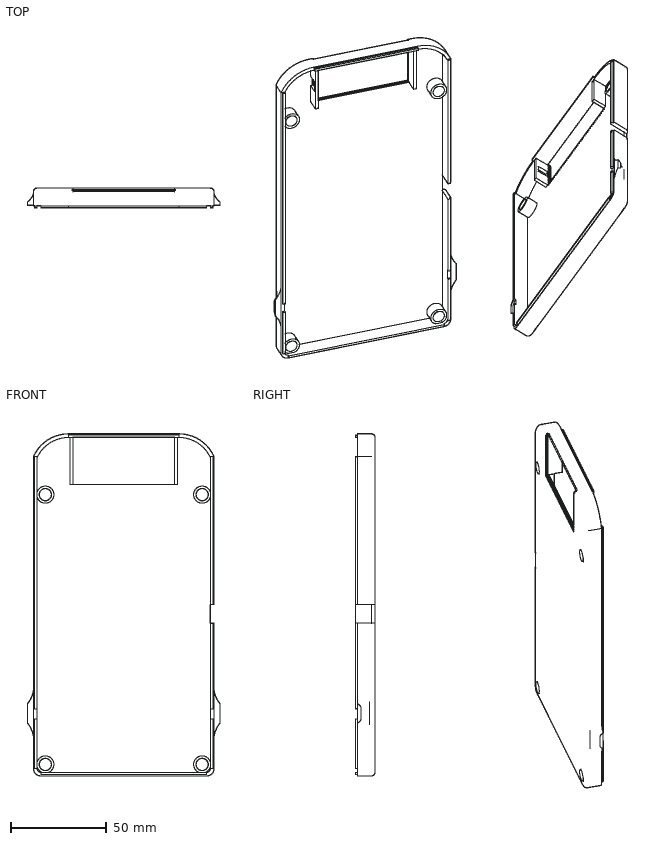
import cadquery as cq
import math

length = 179.9
overall_width = 101.3
body_width = 95.0
body_depth = 9.4
lip_height = 1.0
wall = 2.0
floor = 2.0
back_fillet = 2.0
bottom_radius = 4.0
shoulder_width = 18.5
shoulder_drop = 12.0

half_width = body_width / 2
shoulder_z = length - shoulder_drop
top_half_width = half_width - shoulder_width

lip_inset = 0.7
lip_thickness = wall - lip_inset
lip_notch_bottom = 30.0
lip_notch_height = 5.2

boss_diameter = 9.0
bore_diameter = 6.3
boss_height = 6.1
boss_x = 41.2
boss_z_positions = (6.1, 147.9)

window_width = 53.2
window_bottom = 153.3
rib_thickness = 1.6
rib_opening_bottom = 163.5
rib_opening_height = 6.0
rib_bridge = 1.5

groove_depth = 0.5
groove_front = 1.5
groove_back = 0.7

side_gap_bottom = 80.4
side_gap_height = 9.7

grip_reach = (overall_width - body_width) / 2
grip_z = 33.0
grip_tip_half_front = 5.0
grip_tip_half_back = 3.0
grip_tip_depth = 1.8
grip_root_half_front = 14.4
grip_root_half_back = 6.8
grip_root_depth = 7.5
grip_corner_bulge = 0.1
grip_sections = 5
grip_setback = 0.2
grip_embed = 0.2


def box(x_min, x_max, y_min, y_max, z_min, z_max):
    size = (x_max - x_min, y_max - y_min, z_max - z_min)
    return cq.Workplane("XY").box(*size, centered=False).translate((x_min, y_min, z_min))


def outline():
    """Shell outline: rounded bottom corners, and shoulders arched to run smoothly into the top."""
    arch_radius = (shoulder_width**2 + shoulder_drop**2) / (2 * shoulder_drop)
    half_angle = math.asin(shoulder_width / arch_radius) / 2
    mid_x = top_half_width + arch_radius * math.sin(half_angle)
    mid_z = length - arch_radius * (1 - math.cos(half_angle))
    corner_mid = bottom_radius * (1 - math.sqrt(0.5))
    straight_half = half_width - bottom_radius
    return (
        cq.Workplane("XZ")
        .moveTo(-straight_half, 0)
        .lineTo(straight_half, 0)
        .threePointArc((half_width - corner_mid, corner_mid), (half_width, bottom_radius))
        .lineTo(half_width, shoulder_z)
        .threePointArc((mid_x, mid_z), (top_half_width, length))
        .lineTo(-top_half_width, length)
        .threePointArc((-mid_x, mid_z), (-half_width, shoulder_z))
        .lineTo(-half_width, bottom_radius)
        .threePointArc((-half_width + corner_mid, corner_mid), (-straight_half, 0))
        .close()
    )


def shell():
    body = outline().extrude(body_depth).faces(">Y").edges().fillet(back_fillet)
    cavity = outline().offset2D(-wall).extrude(body_depth).translate((0, -floor, 0))
    return body.cut(cavity)


def lips():
    y_min, y_max = -body_depth - lip_height, -body_depth
    inner_x = half_width - wall
    bottom_half = half_width - bottom_radius
    bottom = box(-bottom_half, bottom_half, y_min, y_max, lip_inset, wall)
    top = box(-top_half_width, top_half_width, y_min, y_max, length - wall, length - lip_inset)
    rim = bottom.union(top)
    notch_top = lip_notch_bottom + lip_notch_height
    for z_min, z_max in ((bottom_radius, lip_notch_bottom), (notch_top, shoulder_z)):
        side = box(inner_x, inner_x + lip_thickness, y_min, y_max, z_min, z_max)
        rim = rim.union(side).union(side.mirror("YZ"))
    return rim


def boss_points():
    return [(x, z) for x in (-boss_x, boss_x) for z in boss_z_positions]


def bosses():
    discs = cq.Workplane("XZ").pushPoints(boss_points()).circle(boss_diameter / 2)
    return discs.extrude(floor + boss_height)


def bores():
    return cq.Workplane("XZ").pushPoints(boss_points()).circle(bore_diameter / 2).extrude(body_depth)


def grip_section(spread, x):
    """Arched outline of the grip at position x; spread runs from 0 at the tip to 1 at the root."""
    half_front = grip_tip_half_front + spread * (grip_root_half_front - grip_tip_half_front)
    half_back = grip_tip_half_back + spread * (grip_root_half_back - grip_tip_half_back)
    depth = grip_tip_depth + spread * (grip_root_depth - grip_tip_depth)
    mid_half = (half_front + half_back) / 2 + grip_corner_bulge * depth
    mid_depth = depth * (0.5 + grip_corner_bulge)
    return (
        cq.Workplane("YZ", origin=(x, -body_depth + grip_setback, grip_z))
        .moveTo(0, -half_front)
        .threePointArc((mid_depth, -mid_half), (depth, -half_back))
        .lineTo(depth, half_back)
        .threePointArc((mid_depth, mid_half), (0, half_front))
        .close()
        .wires()
        .val()
    )


def grip():
    """Grip on the +X wall; its flanks flare out along a concave arc that fades into the wall."""
    flare = grip_root_half_front - grip_tip_half_front
    total_rise = grip_reach + grip_embed
    turn = 2 * math.atan(total_rise / flare)
    sections = []
    for step in range(grip_sections):
        angle = turn * (1 - step / (grip_sections - 1))
        spread = 1 - math.sin(angle) / math.sin(turn)
        rise = total_rise * (1 - math.cos(angle)) / (1 - math.cos(turn))
        sections.append(grip_section(spread, half_width - grip_embed + rise))
    return cq.Workplane(obj=cq.Solid.makeLoft(sections))


def window_rib(x_min):
    return box(x_min, x_min + rib_thickness, -body_depth, -floor, window_bottom, length - wall)


window_half = window_width / 2
right_grip = grip()
top_notch = box(-window_half, window_half, -floor, 0, length - wall, length)
groove_half = window_half + groove_depth
pane_groove = box(
    -groove_half, groove_half,
    -groove_front, -groove_back,
    window_bottom - groove_depth, length,
)
window = box(-window_half, window_half, -floor, 0, window_bottom, length - wall)
rib_opening = box(
    -window_half - rib_thickness, -window_half,
    -body_depth + rib_bridge, -floor,
    rib_opening_bottom, rib_opening_bottom + rib_opening_height,
)
side_gap = box(
    half_width - wall, half_width,
    -body_depth - lip_height, 0,
    side_gap_bottom, side_gap_bottom + side_gap_height,
)

result = (
    shell()
    .union(bosses())
    .cut(bores())
    .union(window_rib(-window_half - rib_thickness))
    .union(window_rib(window_half))
    .cut(window)
    .cut(top_notch)
    .cut(pane_groove)
    .cut(rib_opening)
    .union(lips())
    .cut(side_gap)
    .union(right_grip)
    .union(right_grip.mirror("YZ"))
)